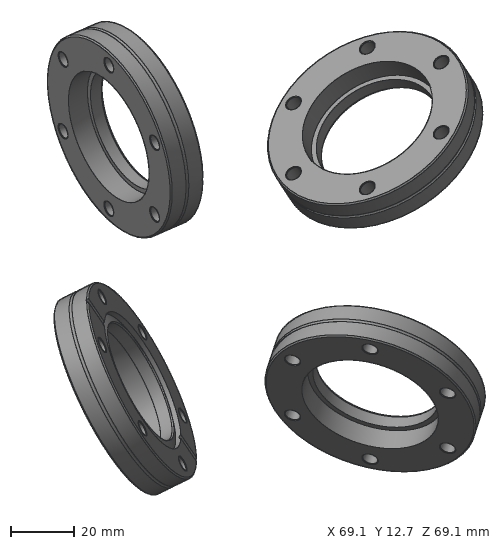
import cadquery as cq
import math

outer_diameter = 69.1
thickness = 12.7
rim_chamfer = 0.5
front_y = -thickness / 2
back_y = thickness / 2

bore_diameter = 41.3
socket_diameter = 44.7
socket_depth = 7.3

recess_diameter = 48.2
bore_flare_depth = 1.25
knife_tip_diameter = 41.9
knife_tip_depth = 0.7
knife_slope = 20.0

hole_count = 6
hole_diameter = 4.9
hole_circle_diameter = 58.7
hole_chamfer = 0.24

rim_groove_radius = 0.6
rim_groove_depth = 0.31

leak_groove_radius = 1.4
leak_groove_depth = 0.6


def revolve_about_y(profile):
    """Turn a closed outline of (radius, y) points about the Y axis."""
    return cq.Workplane("XY").polyline(profile).close().revolve(360, (0, 0, 0), (0, 1, 0))


def flange_body():
    """Chamfered ring with the front socket, the bore and the knife-edged gasket recess."""
    outer_radius = outer_diameter / 2
    bore_radius = bore_diameter / 2
    socket_radius = socket_diameter / 2
    recess_radius = recess_diameter / 2
    tip_radius = knife_tip_diameter / 2
    shoulder_y = front_y + socket_depth
    tip_y = back_y - knife_tip_depth
    recess_floor_y = tip_y - (recess_radius - tip_radius) * math.tan(math.radians(knife_slope))
    return revolve_about_y([
        (socket_radius, front_y),
        (outer_radius - rim_chamfer, front_y),
        (outer_radius, front_y + rim_chamfer),
        (outer_radius, back_y - rim_chamfer),
        (outer_radius - rim_chamfer, back_y),
        (recess_radius, back_y),
        (recess_radius, recess_floor_y),
        (tip_radius, tip_y),
        (bore_radius, back_y - bore_flare_depth),
        (bore_radius, shoulder_y),
        (socket_radius, shoulder_y),
    ])


def bolt_hole():
    """Through hole on the bolt circle above the axis, chamfered at both faces."""
    radius = hole_diameter / 2
    mouth_radius = radius + hole_chamfer
    hole = revolve_about_y([
        (0, front_y),
        (mouth_radius, front_y),
        (radius, front_y + hole_chamfer),
        (radius, back_y - hole_chamfer),
        (mouth_radius, back_y),
        (0, back_y),
    ])
    return hole.translate((0, 0, hole_circle_diameter / 2))


def rim_groove():
    """Ring of circular section that cuts into the rim at mid thickness."""
    ring_radius = outer_diameter / 2 + rim_groove_radius - rim_groove_depth
    section = cq.Workplane("XY").center(ring_radius, 0).circle(rim_groove_radius)
    return section.revolve(360, (-ring_radius, 0, 0), (-ring_radius, 1, 0))


def leak_groove():
    """Round bar along X that cuts into the back face across its full width."""
    axis_y = back_y + leak_groove_radius - leak_groove_depth
    section = cq.Workplane("YZ").center(axis_y, 0).circle(leak_groove_radius)
    return section.extrude(outer_diameter / 2, both=True)


flange = flange_body().cut(rim_groove()).cut(leak_groove())
for index in range(hole_count):
    angle = index * 360 / hole_count
    flange = flange.cut(bolt_hole().rotate((0, 0, 0), (0, 1, 0), angle))

result = flange